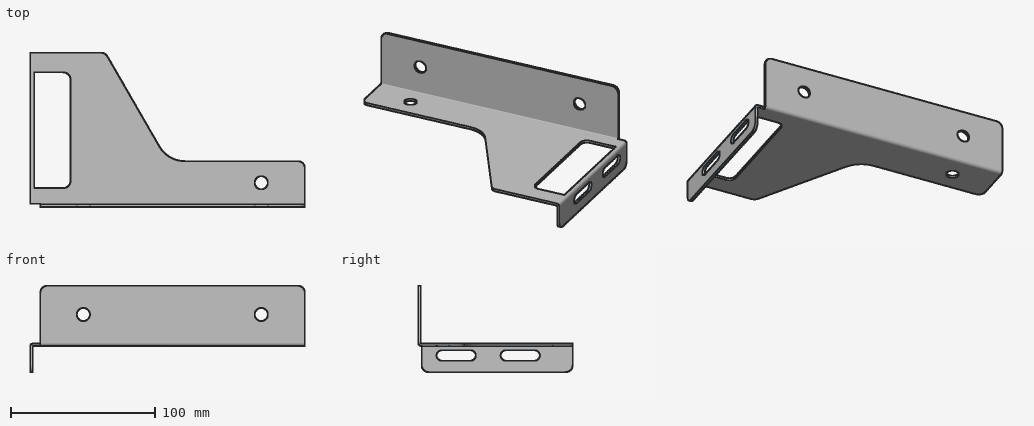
import cadquery as cq
import math

length = 190.5
depth = 107.0
height = 60.0

sheet = 2.0
bend_inner = 0.4
bend_outer = bend_inner + sheet
corner_radius = 5.0

plate_top = 20.0
plate_bottom = plate_top - sheet
plate_front = bend_outer
arm_depth = 32.0
wide_end_length = 52.2
slope_angle = 60.0
slope_fillet = 20.0
slope_end = wide_end_length + (depth - arm_depth) / math.tan(math.radians(slope_angle))

window_left = 3.0
window_right = 28.0
window_front = 13.3
window_depth = 80.0

upright_left = 7.0
hole_diameter = 9.0
first_hole_x = 37.0
last_hole_x = 160.2
upright_hole_z = 40.0
plate_hole_y = 17.0

slot_length = 27.0
slot_width = 7.0
slot_z = 11.6
slot_centers_y = (26.3, 70.7)


def box(x0, x1, y0, y1, z0, z1):
    """Box between opposite corners."""
    return cq.Workplane("XY").box(x1 - x0, y1 - y0, z1 - z0, centered=False).translate((x0, y0, z0))


def make_plate():
    """Plate with a wide left end sloping down to a narrow arm."""
    plate = (
        cq.Workplane("XY", origin=(0, 0, plate_bottom))
        .moveTo(bend_outer, plate_front)
        .lineTo(length, plate_front)
        .lineTo(length, arm_depth)
        .lineTo(slope_end, arm_depth)
        .lineTo(wide_end_length, depth)
        .lineTo(bend_outer, depth)
        .close()
        .extrude(sheet)
    )
    middle_z = plate_bottom + sheet / 2
    for x, y, radius in (
        (length, arm_depth, corner_radius),
        (slope_end, arm_depth, slope_fillet),
        (wide_end_length, depth, corner_radius),
    ):
        plate = plate.edges("|Z").edges(cq.NearestToPointSelector((x, y, middle_z))).fillet(radius)
    return plate


def bent_profile(plane, flange_height):
    """Section of a flange and its bend, ending where the flat plate begins.

    The flange stands on the local x = 0 line, rising from the outside of the bend at y = 0.
    """
    diagonal = math.sqrt(0.5)
    outer_middle = bend_outer * (1 - diagonal)
    inner_middle = bend_outer - bend_inner * diagonal
    return (
        cq.Workplane(plane)
        .moveTo(0, flange_height)
        .lineTo(0, bend_outer)
        .threePointArc((outer_middle, outer_middle), (bend_outer, 0))
        .lineTo(bend_outer, sheet)
        .threePointArc((inner_middle, inner_middle), (sheet, bend_outer))
        .lineTo(sheet, flange_height)
        .close()
    )


def make_upright():
    """Front flange rising from the plate, with rounded upper corners."""
    rising_plane = cq.Plane(origin=(upright_left, 0, plate_bottom), xDir=(0, 1, 0), normal=(1, 0, 0))
    flange = bent_profile(rising_plane, height - plate_bottom).extrude(length - upright_left)
    return flange.edges("|Y and >Z").fillet(corner_radius)


def make_side_flange():
    """Left flange hanging from the plate, with rounded lower corners."""
    hanging_plane = cq.Plane(origin=(0, plate_front, plate_top), xDir=(1, 0, 0), normal=(0, 1, 0))
    flange = bent_profile(hanging_plane, plate_top).extrude(depth - plate_front)
    return flange.edges("|X and <Z").fillet(corner_radius)


def make_window():
    """Window cutter with its two right-hand corners rounded."""
    window = box(window_left, window_right, window_front, window_front + window_depth, 0, height)
    return window.edges("|Z and >X").fillet(corner_radius)


def make_holes():
    """Two holes through the upright and one through the plate arm."""
    upright_holes = (
        cq.Workplane("XZ")
        .pushPoints([(first_hole_x, upright_hole_z), (last_hole_x, upright_hole_z)])
        .circle(hole_diameter / 2)
        .extrude(-sheet)
    )
    plate_hole = (
        cq.Workplane("XY", origin=(0, 0, plate_bottom))
        .center(last_hole_x, plate_hole_y)
        .circle(hole_diameter / 2)
        .extrude(sheet)
    )
    return upright_holes.union(plate_hole)


def make_slots():
    """Two round-ended slots through the side flange."""
    return (
        cq.Workplane("YZ")
        .pushPoints([(y, slot_z) for y in slot_centers_y])
        .slot2D(slot_length, slot_width)
        .extrude(sheet)
    )


bracket = make_plate().union(make_upright()).union(make_side_flange())
result = bracket.cut(make_window()).cut(make_holes()).cut(make_slots())